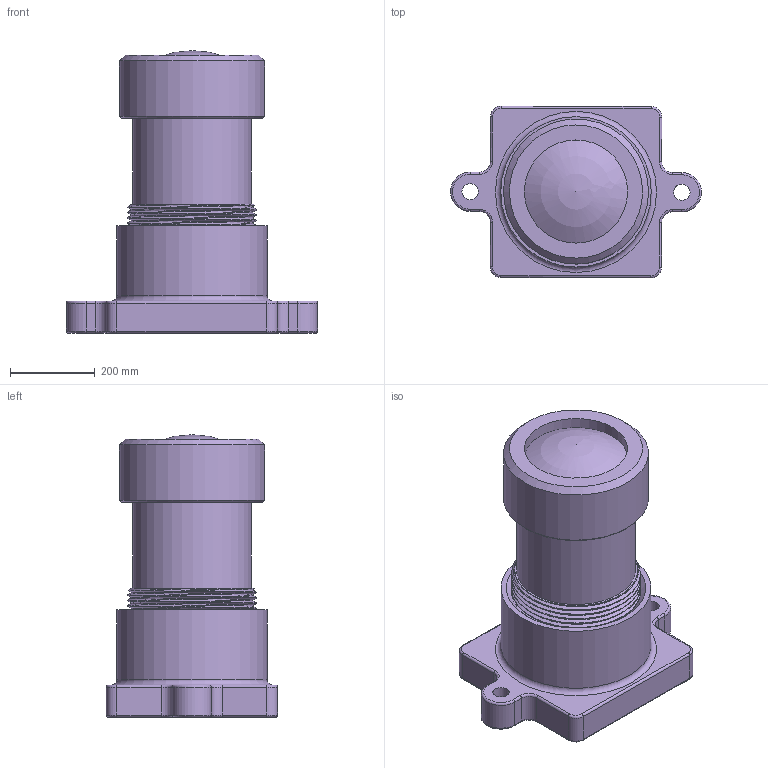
import cadquery as cq
import math

PLATE_SIDE = 405.25
PLATE_HEIGHT = 76.2
PLATE_CORNER_RADIUS = 25.4
OVERALL_LENGTH = 593.75
EAR_RADIUS = 46.5
EAR_CENTER_X = OVERALL_LENGTH / 2 - EAR_RADIUS
EAR_ROOT_RADIUS = 25.4
EAR_HOLE_DIAMETER = 38.6
PLATE_EDGE_FILLET = 5.08
BASE_TURN = -0.15

HOLDER_RADIUS = 177.8
HOLDER_TOP_Z = 254.0
HOLDER_FOOT_FILLET = 12.7

THREAD_RADIUS = 152.4
THREAD_PITCH = 12.7
THREAD_DEPTH = 7.5
THREAD_ROOT_RADIUS = THREAD_RADIUS - THREAD_DEPTH
THREAD_TOP_Z = 304.8
THREAD_CREST_WIDTH = THREAD_PITCH / 8
THREAD_ROOT_WIDTH = THREAD_PITCH / 4
THREAD_TURNS = 6
THREAD_FOOT_Z = HOLDER_TOP_Z - 3 * THREAD_PITCH
THREAD_TOP_CHAMFER = 6.35
BARREL_RADIUS = 140.5

MOUTH_CHAMFER = 12.7
MOUTH_RADIUS = THREAD_RADIUS + MOUTH_CHAMFER
MOUTH_BOTTOM_Z = HOLDER_TOP_Z - MOUTH_CHAMFER

HEAD_RADIUS = 171.45
HEAD_BOTTOM_Z = 508.0
HEAD_TOP_Z = 657.86
HEAD_TOP_CHAMFER = 14.0
HEAD_BOTTOM_CHAMFER = 5.08
GLASS_RADIUS = 121.92
GLASS_SPHERE_RADIUS = 220.0
GLASS_TOP_Z = 668.02
LENS_TURN = 10.6


def dome_height(radius):
    """Height of the glass dome at a given distance from the lens axis."""
    sphere_center_z = GLASS_TOP_Z - GLASS_SPHERE_RADIUS
    return sphere_center_z + math.sqrt(GLASS_SPHERE_RADIUS**2 - radius**2)


def make_base_plate():
    """Rounded square plate with a drilled, rounded ear on the left and the right."""
    plate = cq.Workplane("XY").rect(PLATE_SIDE, PLATE_SIDE).extrude(PLATE_HEIGHT)
    plate = plate.edges("|Z").fillet(PLATE_CORNER_RADIUS)
    ears = cq.Workplane("XY").slot2D(OVERALL_LENGTH, 2 * EAR_RADIUS).extrude(PLATE_HEIGHT)
    plate = plate.union(ears)

    margin = 1.0
    ear_root_zone = cq.selectors.BoxSelector(
        (-PLATE_SIDE / 2 - margin, -EAR_RADIUS - margin, 0),
        (PLATE_SIDE / 2 + margin, EAR_RADIUS + margin, PLATE_HEIGHT),
    )
    plate = plate.edges("|Z").edges(ear_root_zone).fillet(EAR_ROOT_RADIUS)

    plate = plate.faces("<Z or >Z").edges().fillet(PLATE_EDGE_FILLET)
    ear_centers = [(-EAR_CENTER_X, 0), (EAR_CENTER_X, 0)]
    holes = cq.Workplane("XY").pushPoints(ear_centers).circle(EAR_HOLE_DIAMETER / 2).extrude(PLATE_HEIGHT)
    return plate.cut(holes).rotate((0, 0, 0), (0, 0, 1), BASE_TURN)


def make_holder():
    """Round holder with a concave foot and a conical mouth, solid below the mouth."""
    foot_radius = HOLDER_RADIUS + HOLDER_FOOT_FILLET
    embedded_z = PLATE_HEIGHT / 2
    foot_top_z = PLATE_HEIGHT + HOLDER_FOOT_FILLET
    arc_offset = HOLDER_FOOT_FILLET * (1 - math.sqrt(0.5))
    profile = (
        cq.Workplane("XZ")
        .moveTo(0, embedded_z)
        .lineTo(foot_radius, embedded_z)
        .lineTo(foot_radius, PLATE_HEIGHT)
        .threePointArc((HOLDER_RADIUS + arc_offset, PLATE_HEIGHT + arc_offset), (HOLDER_RADIUS, foot_top_z))
        .lineTo(HOLDER_RADIUS, HOLDER_TOP_Z)
        .lineTo(MOUTH_RADIUS, HOLDER_TOP_Z)
        .lineTo(THREAD_RADIUS, MOUTH_BOTTOM_Z)
        .lineTo(0, MOUTH_BOTTOM_Z)
        .close()
    )
    return profile.revolve(360, (0, 0, 0), (0, 1, 0))


def make_thread_groove():
    """Left-handed helical groove with sloped flanks, starting below the rim of the holder."""
    start_z = HOLDER_TOP_Z - 1.5 * THREAD_PITCH
    clearance = 1.0
    half_root = THREAD_ROOT_WIDTH / 2
    half_mouth = (THREAD_PITCH - THREAD_CREST_WIDTH) / 2
    flank_slope = (half_mouth - half_root) / THREAD_DEPTH
    half_outer = half_mouth + flank_slope * clearance
    outer_radius = THREAD_RADIUS + clearance
    helix = cq.Wire.makeHelix(
        THREAD_PITCH, THREAD_TURNS * THREAD_PITCH, THREAD_ROOT_RADIUS, cq.Vector(0, 0, start_z), lefthand=True
    )
    section = cq.Workplane("XZ").polyline(
        [
            (THREAD_ROOT_RADIUS, start_z - half_root),
            (outer_radius, start_z - half_outer),
            (outer_radius, start_z + half_outer),
            (THREAD_ROOT_RADIUS, start_z + half_root),
        ]
    ).close()
    return section.sweep(cq.Workplane(obj=helix), isFrenet=True)


def make_lens():
    """Stepped lens body: threaded foot, plain barrel, chamfered head and domed glass."""
    dome_mid_radius = GLASS_RADIUS / 2
    profile = (
        cq.Workplane("XZ")
        .moveTo(0, THREAD_FOOT_Z)
        .lineTo(THREAD_RADIUS, THREAD_FOOT_Z)
        .lineTo(THREAD_RADIUS, THREAD_TOP_Z - THREAD_TOP_CHAMFER)
        .lineTo(THREAD_RADIUS - THREAD_TOP_CHAMFER, THREAD_TOP_Z)
        .lineTo(BARREL_RADIUS, THREAD_TOP_Z)
        .lineTo(BARREL_RADIUS, HEAD_BOTTOM_Z)
        .lineTo(HEAD_RADIUS - HEAD_BOTTOM_CHAMFER, HEAD_BOTTOM_Z)
        .lineTo(HEAD_RADIUS, HEAD_BOTTOM_Z + HEAD_BOTTOM_CHAMFER)
        .lineTo(HEAD_RADIUS, HEAD_TOP_Z - HEAD_TOP_CHAMFER)
        .lineTo(HEAD_RADIUS - HEAD_TOP_CHAMFER, HEAD_TOP_Z)
        .lineTo(GLASS_RADIUS, HEAD_TOP_Z)
        .lineTo(GLASS_RADIUS, dome_height(GLASS_RADIUS))
        .threePointArc((dome_mid_radius, dome_height(dome_mid_radius)), (0, GLASS_TOP_Z))
        .close()
    )
    lens = profile.revolve(360, (0, 0, 0), (0, 1, 0)).rotate((0, 0, 0), (0, 0, 1), LENS_TURN)
    return lens.cut(make_thread_groove())


result = make_base_plate().union(make_holder()).union(make_lens())